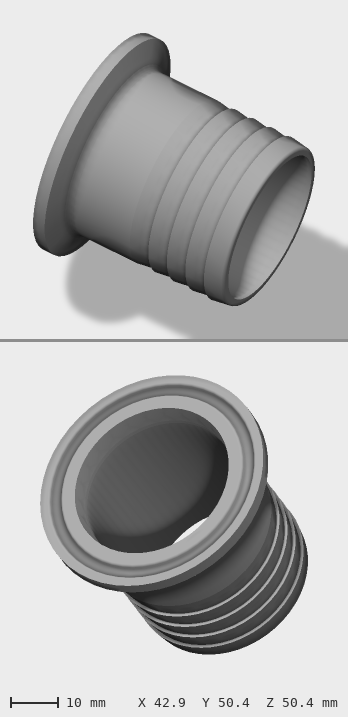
import cadquery as cq
import math


length = 42.85
flange_radius = 50.39 / 2
tube_radius = 38.1 / 2

rim_thickness = 2.85
flange_back_angle = 20.0
neck_fillet = 1.59

barb_count = 5
barb_pitch = 4.56
barb_taper_angle = 8.5
end_fillet = 0.7

bore_mouth_radius = 34.75 / 2
bore_radius = 33.33 / 2
bore_taper_length = 4.75
bore_blend_radius = 6.35

groove_pitch_radius = 21.78
groove_floor_radius = 1.1
groove_lip_radius = 0.55
groove_wall_angle = 20.0
groove_depth = 1.59

flange_cone_length = (flange_radius - tube_radius) * math.tan(math.radians(flange_back_angle))
neck_x = rim_thickness + flange_cone_length
first_barb_x = length - barb_count * barb_pitch
barb_root_radius = tube_radius - barb_pitch * math.tan(math.radians(barb_taper_angle))


def revolve_about_x(profile):
    """Turn a closed profile, drawn as (x, radius), a full turn about the X axis."""
    return profile.close().revolve(360, (0, 0, 0), (1, 0, 0))


def round_circle_at(body, x, radius):
    """Fillet the circular edge that lies in the plane at x."""
    slab_half_width = 0.1
    slab = cq.selectors.BoxSelector(
        (x - slab_half_width, -flange_radius, -flange_radius),
        (x + slab_half_width, flange_radius, flange_radius),
        boundingbox=True,
    )
    return body.edges(slab).fillet(radius)


def make_outer_body():
    """Solid flange, tube and barbs, with the neck and the hose end rounded."""
    profile = (
        cq.Workplane("XY")
        .moveTo(0, 0)
        .lineTo(0, flange_radius)
        .lineTo(rim_thickness, flange_radius)
        .lineTo(neck_x, tube_radius)
        .lineTo(first_barb_x, tube_radius)
    )
    for barb in range(barb_count):
        barb_end_x = first_barb_x + (barb + 1) * barb_pitch
        profile = profile.lineTo(barb_end_x, barb_root_radius)
        if barb < barb_count - 1:
            profile = profile.lineTo(barb_end_x, tube_radius)
    body = revolve_about_x(profile.lineTo(length, 0))
    body = round_circle_at(body, neck_x, neck_fillet)
    return round_circle_at(body, length, end_fillet)


def make_bore():
    """Through bore whose mouth tapers inward and blends smoothly into the straight part."""
    bore = revolve_about_x(
        cq.Workplane("XY")
        .moveTo(0, 0)
        .lineTo(0, bore_mouth_radius)
        .lineTo(bore_taper_length, bore_radius)
        .lineTo(length, bore_radius)
        .lineTo(length, 0)
    )
    return round_circle_at(bore, bore_taper_length, bore_blend_radius)


def make_gasket_groove():
    """Ring groove with a round floor, sloping walls and rounded lips."""
    wall = math.radians(groove_wall_angle)
    floor_centre_x = groove_depth - groove_floor_radius
    floor_end_x = floor_centre_x + groove_floor_radius * math.sin(wall)
    floor_half_width = groove_floor_radius * math.cos(wall)
    wall_end_x = groove_lip_radius * (1 - math.sin(wall))
    wall_half_width = floor_half_width + (floor_end_x - wall_end_x) * math.tan(wall)
    lip_half_width = wall_half_width + groove_lip_radius * math.cos(wall)
    lip_middle_angle = wall / 2 + math.pi / 4
    lip_middle_x = groove_lip_radius * (1 - math.sin(lip_middle_angle))
    lip_middle_half_width = lip_half_width - groove_lip_radius * math.cos(lip_middle_angle)

    def outer(x, half_width):
        return (x, groove_pitch_radius + half_width)

    def inner(x, half_width):
        return (x, groove_pitch_radius - half_width)

    return revolve_about_x(
        cq.Workplane("XY")
        .moveTo(*outer(0, lip_half_width))
        .threePointArc(outer(lip_middle_x, lip_middle_half_width), outer(wall_end_x, wall_half_width))
        .lineTo(*outer(floor_end_x, floor_half_width))
        .threePointArc((groove_depth, groove_pitch_radius), inner(floor_end_x, floor_half_width))
        .lineTo(*inner(wall_end_x, wall_half_width))
        .threePointArc(inner(lip_middle_x, lip_middle_half_width), inner(0, lip_half_width))
    )


result = make_outer_body().cut(make_bore()).cut(make_gasket_groove())